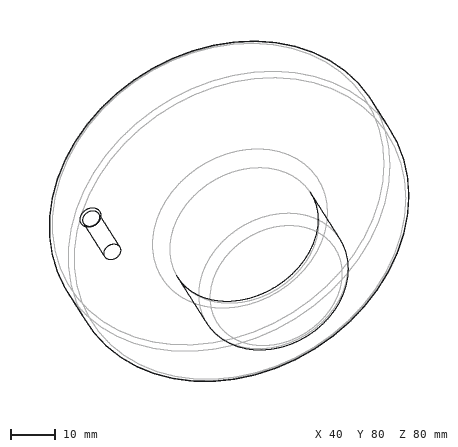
import cadquery as cq

total_length = 40.0
disc_diameter = 80.0
disc_thickness = 15.0
disc_edge_radius = 1.0
hub_diameter = 35.0
hub_root_radius = 3.0
hub_end_radius = 2.0

hole_diameter = 4.0
hole_mouth_diameter = 5.0
hole_offset = 30.0


def make_body():
    """Turn the disc, hub, root fillet and edge breaks as one profile."""
    disc_radius = disc_diameter / 2
    hub_radius = hub_diameter / 2
    profile = (
        cq.Workplane("XY")
        .lineTo(0, disc_radius - disc_edge_radius)
        .radiusArc((disc_edge_radius, disc_radius), disc_edge_radius)
        .lineTo(disc_thickness - disc_edge_radius, disc_radius)
        .radiusArc((disc_thickness, disc_radius - disc_edge_radius), disc_edge_radius)
        .lineTo(disc_thickness, hub_radius + hub_root_radius)
        .radiusArc((disc_thickness + hub_root_radius, hub_radius), -hub_root_radius)
        .lineTo(total_length - hub_end_radius, hub_radius)
        .radiusArc((total_length, hub_radius - hub_end_radius), hub_end_radius)
        .lineTo(total_length, 0)
        .close()
    )
    return profile.revolve(360, (0, 0, 0), (1, 0, 0))


def make_hole():
    """Hole through the disc with a 45 degree countersink at the flat face."""
    hole_radius = hole_diameter / 2
    mouth_radius = hole_mouth_diameter / 2
    sink_depth = mouth_radius - hole_radius
    profile = (
        cq.Workplane("XY")
        .lineTo(0, mouth_radius)
        .lineTo(sink_depth, hole_radius)
        .lineTo(disc_thickness, hole_radius)
        .lineTo(disc_thickness, 0)
        .close()
    )
    return profile.revolve(360, (0, 0, 0), (1, 0, 0)).translate((0, -hole_offset, 0))


result = make_body().cut(make_hole())